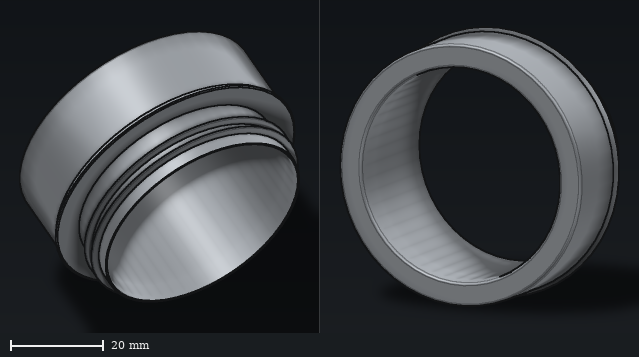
import cadquery as cq

total_length = 30.0
bore_radius = 47.0 / 2
body_radius = 57.4 / 2
spigot_radius = 47.8 / 2
face_rounding = 0.6

lip_radius = 29.5
lip_start = 16.7
lip_crest = 17.95
lip_end = 18.2
lip_edge_drop = 0.35

rib_radius = 25.5
rib_base_width = 1.0
rib_tip_width = 0.35
rib_centers = (23.55, 26.5)


def revolve_about_x(profile):
    return profile.close().revolve(360, (0, 0, 0), (1, 0, 0))


def make_sleeve():
    """Body, flared lip and thin spigot around a through bore."""
    profile = (
        cq.Workplane("XY")
        .moveTo(0, bore_radius)
        .lineTo(0, body_radius)
        .lineTo(lip_start, body_radius)
        .lineTo(lip_crest, lip_radius)
        .lineTo(lip_end, lip_radius - lip_edge_drop)
        .lineTo(lip_end, spigot_radius)
        .lineTo(total_length, spigot_radius)
        .lineTo(total_length, bore_radius)
    )
    return revolve_about_x(profile).faces("<X").edges().fillet(face_rounding)


def make_rib(center):
    """Round-tipped tapered rib whose root is sunk into the spigot wall."""
    root_radius = (bore_radius + spigot_radius) / 2
    half_base = rib_base_width / 2
    half_tip = rib_tip_width / 2
    flank_radius = rib_radius - half_tip
    profile = (
        cq.Workplane("XY")
        .moveTo(center - half_base, root_radius)
        .lineTo(center - half_base, spigot_radius)
        .lineTo(center - half_tip, flank_radius)
        .threePointArc((center, rib_radius), (center + half_tip, flank_radius))
        .lineTo(center + half_base, spigot_radius)
        .lineTo(center + half_base, root_radius)
    )
    return revolve_about_x(profile)


result = make_sleeve()
for rib_center in rib_centers:
    result = result.union(make_rib(rib_center))